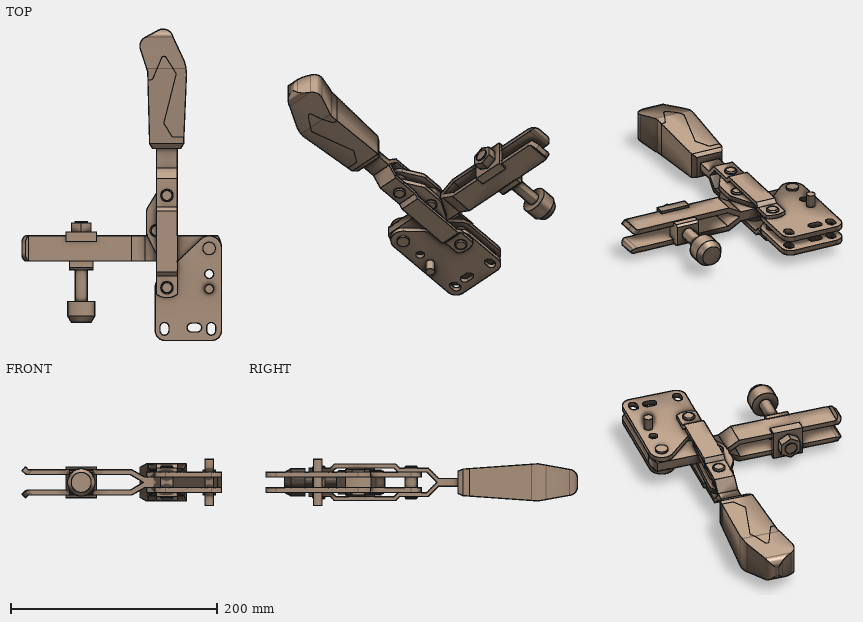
import cadquery as cq
import math

LENGTH_X = 193.7
LENGTH_Y = 302.2
RIGHT_END = LENGTH_X / 2
LEFT_END = -LENGTH_X / 2
BASE_BOTTOM = -LENGTH_Y / 2
GRIP_TOP = LENGTH_Y / 2

PLATE_GAP = 10.0
BASE_WIDTH = 20.0
PLATE_INNER = PLATE_GAP / 2
PLATE_OUTER = BASE_WIDTH / 2
PLATE_THICKNESS = PLATE_OUTER - PLATE_INNER
LEVER_THICKNESS = 4.0
LEVER_PIVOT_FACE = PLATE_OUTER + LEVER_THICKNESS
LEVER_CLEAR_FACE = LEVER_PIVOT_FACE + LEVER_THICKNESS

RIVET_RADIUS = 6.0
RIVET_HEAD = 2.0
RIVET_CHAMFER = 1.2

BASE_ROUND = 12.0
ARM_PIVOT = (RIGHT_END - BASE_ROUND, -61.5)
LEVER_PIVOT = (43.8, -99.7)
LINK_LEVER_PIVOT = (LEVER_PIVOT[0], -10.3)
LINK_ARM_PIVOT = (33.5, -44.5)

BASE_LEFT = 32.3
BASE_SHOULDER_Y = -95.0
BASE_SHOULDER_ROUND = 10.5
BASE_CORNER = 10.0
HOLE_RADIUS = 4.2
STOP_PIN_Y = -101.0
STOP_PIN_LENGTH = 45.0
SPARE_HOLE_Y = -86.5
UPRIGHT_SLOT_LENGTH = 12.0
UPRIGHT_SLOTS = [(41.5, -139.5), (86.7, -139.5)]
CROSS_SLOT_LENGTH = 14.0
CROSS_SLOT = (70.5, -138.5)

ARM_HALF_WIDTH = 12.5
ARM_OUTER = 12.5
ARM_TIP_BEND_X = -90.7
ARM_SPREAD_X = 9.7
ARM_MERGE_X = 22.5
ARM_TIP_ANGLE = 45
ARM_TIP_ROUND = 6.5
ARM_END_STRAIGHT_X = 93.0
ARM_LUG_RADIUS = 8.5

LINK_END_RADIUS = 10.0
LINK_LEFT = 24.0
LINK_UPPER_CORNER_Y = -24.0
LINK_LOWER_CORNER_Y = -48.0
LINK_CORNER_RADIUS = 9.5
LINK_FOOT = (42.3, -63.8)
LINK_FOOT_RADIUS = 9.0

LEVER_HALF_WIDTH = 10.12
LEVER_SPREAD_Y = 16.3
LEVER_UPPER_JOG_Y = -21.5
LEVER_LOWER_JOG_Y = -84.5
LEVER_END_SIDE_Y = -106.0
LEVER_END_TIP_Y = -109.5

GRIP_BOTTOM = 35.0
GRIP_BEVEL_TOP = 40.2
GRIP_CREST_Y = 112.7
GRIP_NOSE_Y = 143.2
GRIP_HALF_BOTTOM = 11.0
GRIP_HALF_BEVEL = 13.0
GRIP_HALF_CREST = 18.0
GRIP_HALF_NOSE = 12.7
GRIP_HALF_TOP = 4.5
GRIP_NOSE_BULGE = (149.0, 9.7)
GRIP_BEVEL = 3.0
GRIP_BEVEL_LEFT = 27.0
GRIP_BEVEL_RIGHT = 60.0

GRIP_NECK = (25.0, 109.7)
HOOK_START = (17.8, 132.0)
HOOK_MIDDLE = (18.5, 138.7)
HOOK_END = (23.0, GRIP_NOSE_Y)
CROWN_START = (34.0, 149.3)
CROWN_PEAK = (41.5, GRIP_TOP)
CROWN_END = (50.0, GRIP_NOSE_Y)
BACK_START = (60.5, 120.5)
BACK_MIDDLE = (62.3, 113.5)
BACK_END = (63.0, 106.5)

SEAM_LEFT_Y = 101.8
SEAM_RIGHT_Y = 46.2
SEAM_ZIGZAG = [(29.5, SEAM_LEFT_Y), (40.5, 127.5), (53.0, 108.0), (40.8, 59.8), (49.0, SEAM_RIGHT_Y)]
SEAM_ROUND = 2.5

SPINDLE_X = -39.3
ROD_RADIUS = 6.0
ROD_TOP = -35.7
NUT_TOP = -37.0
NUT_ACROSS_FLATS = 19.0
SADDLE_TOP = -45.5
SADDLE_LIP_BOTTOM = -55.0
SADDLE_WIDTH = 30.0
BLOCK_WIDTH = 23.0
BLOCK_NECK_TOP = -66.2
BLOCK_BEVEL_TOP = -80.0
BLOCK_BOTTOM = -82.5
BLOCK_BEVEL = 2.0
CAP_TOP = -113.0
CAP_SHOULDER = -127.0
CAP_BOTTOM = -133.3
CAP_RADIUS = 13.3
CAP_TIP_RADIUS = 9.7


def both_sides(half):
    """The solid together with its mirror image below Z = 0."""
    return half.union(half.mirror("XY"))


def rivet(centre, outer_face):
    """A rivet through both sides, its bevelled heads standing on +/- outer_face."""
    half_length = outer_face + RIVET_HEAD
    shank = cq.Workplane("XY").center(*centre).circle(RIVET_RADIUS)
    shank = shank.extrude(half_length, both=True)
    return shank.faces("<Z or >Z").chamfer(RIVET_CHAMFER)


def cylinder_z(centre, radius, half_length):
    return cq.Workplane("XY").center(*centre).circle(radius).extrude(half_length, both=True)


def drill(body, centre, radius):
    return body.cut(cylinder_z(centre, radius, LENGTH_Y))


def offset_below(path, thickness):
    """The (u, z) path shifted down by thickness with mitred corners."""
    headings = [math.atan2(b[1] - a[1], b[0] - a[0]) for a, b in zip(path, path[1:])]
    before = headings[:1] + headings
    after = headings + headings[-1:]
    shifted = []
    for (u, z), first, second in zip(path, before, after):
        middle = (first + second) / 2
        reach = thickness / math.cos((second - first) / 2)
        shifted.append((u + reach * math.sin(middle), z - reach * math.cos(middle)))
    return shifted


def bent_strip(plane, path, thickness, half_width):
    """Sheet strip whose outer face follows the (u, z) path, u increasing."""
    section = path + offset_below(path, thickness)[::-1]
    return cq.Workplane(plane).polyline(section).close().extrude(half_width, both=True)


def tangent_point(centre, radius, corner, side):
    """Where the line from an outside corner touches the circle; side +1 or -1 picks which."""
    dx = corner[0] - centre[0]
    dy = corner[1] - centre[1]
    angle = math.atan2(dy, dx) + side * math.acos(radius / math.hypot(dx, dy))
    return (centre[0] + radius * math.cos(angle), centre[1] + radius * math.sin(angle))


def make_base():
    shoulder = (BASE_LEFT, BASE_SHOULDER_Y)
    shoulder_tangent = tangent_point(ARM_PIVOT, BASE_ROUND, shoulder, -1)
    ax, ay = ARM_PIVOT
    outline = (
        cq.Workplane("XY")
        .moveTo(RIGHT_END, BASE_BOTTOM)
        .lineTo(RIGHT_END, ay)
        .threePointArc((ax, ay + BASE_ROUND), shoulder_tangent)
        .lineTo(*shoulder)
        .lineTo(BASE_LEFT, BASE_BOTTOM)
        .close()
    )
    plate = outline.extrude(PLATE_THICKNESS).translate((0, 0, PLATE_INNER))
    plate = plate.faces("<Y").edges("|Z").fillet(BASE_CORNER)
    shoulder_edge = cq.selectors.NearestToPointSelector((*shoulder, PLATE_INNER))
    plate = plate.edges("|Z").edges(shoulder_edge).fillet(BASE_SHOULDER_ROUND)
    base = both_sides(plate)

    base = drill(base, (ARM_PIVOT[0], SPARE_HOLE_Y), HOLE_RADIUS)
    slots = cq.Workplane("XY").pushPoints(UPRIGHT_SLOTS)
    slots = slots.slot2D(UPRIGHT_SLOT_LENGTH, 2 * HOLE_RADIUS, 90).extrude(BASE_WIDTH, both=True)
    cross = cq.Workplane("XY").center(*CROSS_SLOT)
    cross = cross.slot2D(CROSS_SLOT_LENGTH, 2 * HOLE_RADIUS).extrude(BASE_WIDTH, both=True)
    base = base.cut(slots).cut(cross)

    arm_axle = cylinder_z(ARM_PIVOT, RIVET_RADIUS, PLATE_OUTER + RIVET_HEAD)
    stop_pin = cylinder_z((ARM_PIVOT[0], STOP_PIN_Y), HOLE_RADIUS, STOP_PIN_LENGTH / 2)
    lever_rivet = rivet(LEVER_PIVOT, LEVER_PIVOT_FACE)
    return base.union(arm_axle).union(stop_pin).union(lever_rivet)


def make_arm():
    ay = ARM_PIVOT[1]
    tip_angle = math.radians(ARM_TIP_ANGLE)
    tip_x = LEFT_END + PLATE_THICKNESS * math.sin(tip_angle)
    tip_z = ARM_OUTER + (ARM_TIP_BEND_X - tip_x) * math.tan(tip_angle)
    path = [
        (tip_x, tip_z),
        (ARM_TIP_BEND_X, ARM_OUTER),
        (ARM_SPREAD_X, ARM_OUTER),
        (ARM_MERGE_X, PLATE_INNER),
        (RIGHT_END, PLATE_INNER),
    ]
    strip = bent_strip("XZ", path, PLATE_THICKNESS, ARM_HALF_WIDTH).translate((0, ay, 0))
    tip_bend = cq.selectors.NearestToPointSelector((ARM_TIP_BEND_X, ay, ARM_OUTER - PLATE_THICKNESS))
    strip = strip.edges("|Y").edges(tip_bend).fillet(PLATE_THICKNESS)

    rounding = (
        cq.Workplane("XY")
        .box(2 * LENGTH_X, 2 * ARM_HALF_WIDTH, 2 * LENGTH_X)
        .edges("|Z and <X")
        .fillet(ARM_TIP_ROUND)
        .translate((LENGTH_X, 0, 0))
        .rotate((0, 0, 0), (0, 1, 0), ARM_TIP_ANGLE)
        .translate((tip_x, ay, tip_z))
    )
    arm = both_sides(strip.intersect(rounding))

    top = ay + ARM_HALF_WIDTH
    bottom = ay - ARM_HALF_WIDTH
    plan = (
        cq.Workplane("XY")
        .moveTo(LEFT_END, bottom)
        .lineTo(ARM_END_STRAIGHT_X, bottom)
        .threePointArc((RIGHT_END, ay), (ARM_END_STRAIGHT_X, top))
        .lineTo(LEFT_END, top)
        .close()
        .extrude(LENGTH_X, both=True)
    )
    arm = arm.intersect(plan)

    lug = cylinder_z(LINK_ARM_PIVOT, ARM_LUG_RADIUS, PLATE_INNER)
    web_height = LINK_ARM_PIVOT[1] - ay
    web = cq.Workplane("XY").box(2 * ARM_LUG_RADIUS, web_height, PLATE_GAP)
    web = web.translate((LINK_ARM_PIVOT[0], ay + web_height / 2, 0))
    arm = arm.union(lug).union(web)
    for centre in (ARM_PIVOT, LINK_ARM_PIVOT):
        arm = drill(arm, centre, RIVET_RADIUS)
    return arm


def make_link():
    cx, cy = LINK_LEVER_PIVOT
    fx, fy = LINK_FOOT
    upper_corner = (LINK_LEFT, LINK_UPPER_CORNER_Y)
    lower_corner = (LINK_LEFT, LINK_LOWER_CORNER_Y)
    end_tangent = tangent_point(LINK_LEVER_PIVOT, LINK_END_RADIUS, upper_corner, -1)
    foot_tangent = tangent_point(LINK_FOOT, LINK_FOOT_RADIUS, lower_corner, 1)
    outline = (
        cq.Workplane("XY")
        .moveTo(cx + LINK_END_RADIUS, cy)
        .threePointArc((cx, cy + LINK_END_RADIUS), end_tangent)
        .lineTo(*upper_corner)
        .lineTo(*lower_corner)
        .lineTo(*foot_tangent)
        .threePointArc((fx, fy - LINK_FOOT_RADIUS), (fx + LINK_FOOT_RADIUS, fy))
        .close()
    )
    plate = outline.extrude(PLATE_THICKNESS).translate((0, 0, PLATE_INNER))
    plate = plate.edges("|Z and <X").fillet(LINK_CORNER_RADIUS)
    link = both_sides(plate)
    lever_rivet = rivet(LINK_LEVER_PIVOT, LEVER_PIVOT_FACE)
    arm_rivet = rivet(LINK_ARM_PIVOT, PLATE_OUTER)
    return link.union(lever_rivet).union(arm_rivet)


def make_lever():
    px = LEVER_PIVOT[0]
    path = [
        (LEVER_END_TIP_Y, LEVER_PIVOT_FACE),
        (LEVER_LOWER_JOG_Y - LEVER_THICKNESS, LEVER_PIVOT_FACE),
        (LEVER_LOWER_JOG_Y, LEVER_CLEAR_FACE),
        (LEVER_UPPER_JOG_Y - LEVER_THICKNESS, LEVER_CLEAR_FACE),
        (LEVER_UPPER_JOG_Y, LEVER_PIVOT_FACE),
        (LEVER_SPREAD_Y - PLATE_OUTER, LEVER_PIVOT_FACE),
        (LEVER_SPREAD_Y, LEVER_THICKNESS),
        (GRIP_BOTTOM, LEVER_THICKNESS),
    ]
    strip = bent_strip("YZ", path, LEVER_THICKNESS, LEVER_HALF_WIDTH).translate((px, 0, 0))
    lever = both_sides(strip)
    plan = (
        cq.Workplane("XY")
        .moveTo(px - LEVER_HALF_WIDTH, GRIP_BOTTOM)
        .lineTo(px - LEVER_HALF_WIDTH, LEVER_END_SIDE_Y)
        .threePointArc((px, LEVER_END_TIP_Y), (px + LEVER_HALF_WIDTH, LEVER_END_SIDE_Y))
        .lineTo(px + LEVER_HALF_WIDTH, GRIP_BOTTOM)
        .close()
        .extrude(LENGTH_X, both=True)
    )
    lever = lever.intersect(plan)
    for centre in (LEVER_PIVOT, LINK_LEVER_PIVOT):
        lever = drill(lever, centre, RIVET_RADIUS)
    return lever


def make_grip():
    plan = (
        cq.Workplane("XY")
        .moveTo(GRIP_BEVEL_LEFT + GRIP_BEVEL, GRIP_BOTTOM)
        .lineTo(GRIP_BEVEL_LEFT, GRIP_BEVEL_TOP)
        .lineTo(*GRIP_NECK)
        .lineTo(*HOOK_START)
        .threePointArc(HOOK_MIDDLE, HOOK_END)
        .lineTo(*CROWN_START)
        .threePointArc(CROWN_PEAK, CROWN_END)
        .lineTo(*BACK_START)
        .threePointArc(BACK_MIDDLE, BACK_END)
        .lineTo(GRIP_BEVEL_RIGHT, GRIP_BEVEL_TOP)
        .lineTo(GRIP_BEVEL_RIGHT - GRIP_BEVEL, GRIP_BOTTOM)
        .close()
        .extrude(LENGTH_X, both=True)
    )
    half_side = (
        cq.Workplane("YZ")
        .moveTo(GRIP_BOTTOM, 0)
        .lineTo(GRIP_BOTTOM, GRIP_HALF_BOTTOM)
        .lineTo(GRIP_BEVEL_TOP, GRIP_HALF_BEVEL)
        .lineTo(GRIP_CREST_Y, GRIP_HALF_CREST)
        .lineTo(GRIP_NOSE_Y, GRIP_HALF_NOSE)
        .threePointArc(GRIP_NOSE_BULGE, (GRIP_TOP, GRIP_HALF_TOP))
        .lineTo(GRIP_TOP, 0)
        .close()
        .extrude(RIGHT_END)
    )
    return plan.intersect(both_sides(half_side))


def make_grip_core_space():
    """The space on the lever side of the zigzag seam through the grip."""
    seam = [
        (0, SEAM_LEFT_Y),
        *SEAM_ZIGZAG,
        (RIGHT_END, SEAM_RIGHT_Y),
        (RIGHT_END, 0),
        (0, 0),
    ]
    space = cq.Workplane("XY").polyline(seam).close().extrude(LENGTH_X, both=True)
    return space.edges("|Z").fillet(SEAM_ROUND)


def box_between(half_x, y_low, y_high, half_z):
    block = cq.Workplane("XY").box(2 * half_x, y_high - y_low, 2 * half_z)
    return block.translate((SPINDLE_X, (y_low + y_high) / 2, 0))


def make_spindle():
    arm_top = ARM_PIVOT[1] + ARM_HALF_WIDTH
    arm_bottom = ARM_PIVOT[1] - ARM_HALF_WIDTH
    arm_inner = ARM_OUTER - PLATE_THICKNESS

    profile = [
        (0, ROD_TOP),
        (ROD_RADIUS, ROD_TOP),
        (ROD_RADIUS, CAP_TOP),
        (CAP_RADIUS, CAP_TOP),
        (CAP_RADIUS, CAP_SHOULDER),
        (CAP_TIP_RADIUS, CAP_BOTTOM),
        (0, CAP_BOTTOM),
    ]
    spindle = cq.Workplane("XY").polyline(profile).close().revolve(360, (0, 0, 0), (0, 1, 0))
    spindle = spindle.translate((SPINDLE_X, 0, 0))

    across_corners = NUT_ACROSS_FLATS / math.cos(math.pi / 6)
    nut = cq.Workplane("XZ").polygon(6, across_corners).extrude(NUT_TOP - SADDLE_TOP)
    nut = nut.rotate((0, 0, 0), (0, 1, 0), 30).translate((SPINDLE_X, NUT_TOP, 0))

    half_saddle = SADDLE_WIDTH / 2
    saddle = box_between(half_saddle, SADDLE_LIP_BOTTOM, SADDLE_TOP, half_saddle)
    saddle = saddle.cut(box_between(half_saddle, SADDLE_LIP_BOTTOM, arm_top, ARM_OUTER))

    half_block = BLOCK_WIDTH / 2
    block_section = [
        (BLOCK_NECK_TOP, arm_inner),
        (arm_bottom, arm_inner),
        (arm_bottom, half_block),
        (BLOCK_BEVEL_TOP, half_block),
        (BLOCK_BOTTOM, half_block - BLOCK_BEVEL),
    ]
    mirrored = [(y, -z) for y, z in reversed(block_section)]
    block = cq.Workplane("YZ").polyline(block_section + mirrored).close()
    block = block.extrude(half_block, both=True).translate((SPINDLE_X, 0, 0))
    return spindle.union(nut).union(saddle).union(block)


base = make_base()
arm = make_arm()
link = make_link()
lever = make_lever()
grip = make_grip()
core_space = make_grip_core_space()
grip_core = grip.intersect(core_space)
grip_cover = grip.cut(core_space)
spindle = make_spindle()

bodies = [base, arm, link, lever, grip_core, grip_cover, spindle]
result = cq.Compound.makeCompound([body.solids().val() for body in bodies])